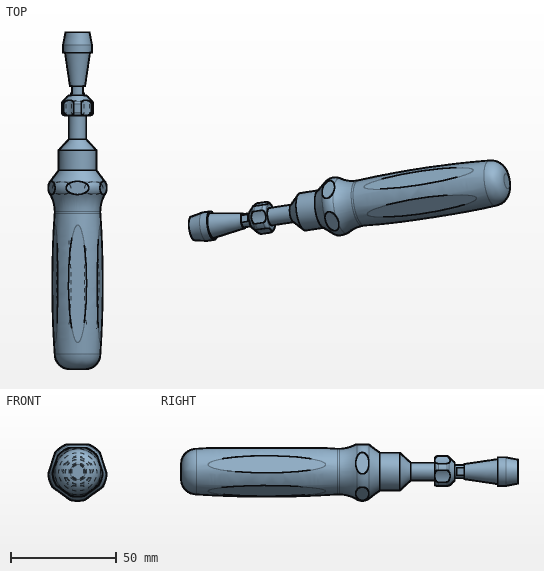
import cadquery as cq
import math

LENGTH = 160.0
SIDES = 5
SIDE_STEP = 360.0 / SIDES

GRIP_END_RADIUS = 10.9
GRIP_MID_RADIUS = 12.05
GRIP_FLAT_DISTANCE = 11.25
BUTT_FILLET = 7.3
GRIP_TOP = 74.1
GRIP_MID = (BUTT_FILLET + GRIP_TOP) / 2
GRIP_COLLAR = 1.0
GRIP_COLLAR_TOP = GRIP_TOP + GRIP_COLLAR

BULGE_RADIUS = 14.0
BULGE_CURVE = 5.0
BULGE_CENTER = 86.1
BULGE_FLAT_DISTANCE = 12.93
BULGE_FLAT_LENGTH = 10.0

FERRULE_RADIUS = 9.05
FERRULE_BOTTOM = 94.4
FERRULE_TOP = 103.9
SHAFT_RADIUS = 4.25
SHAFT_BOTTOM = 109.1

NUT_RADIUS = 7.5
NUT_FILLET = 1.6
NUT_BOTTOM = 120.4
NUT_TOP = 129.95
NUT_TOP_RADIUS = 4.25
SCALLOP_RADIUS = 10.0
SCALLOP_DEPTH_RADIUS = 6.45

NECK_RADIUS = 3.2
NECK_FLAT_DISTANCE = 2.65
NECK_FLAT_BOTTOM = 130.9

HEAD_BOTTOM = 134.35
HEAD_BOTTOM_RADIUS = 3.65
HEAD_TAPER_TOP_RADIUS = 6.0
HEAD_RIM_BOTTOM = 150.25
HEAD_RIM_TOP = 154.1
HEAD_RIM_RADIUS = 6.9
TIP_RADIUS = 5.75


def on_circle(center, radius, angle):
    """Point on a circle of the (radius, Y) half plane; the angle is measured from the radial direction."""
    return (center[0] + radius * math.cos(angle), center[1] + radius * math.sin(angle))


def turned_body():
    butt_center = (GRIP_END_RADIUS - BUTT_FILLET, BUTT_FILLET)

    bulge_center = (BULGE_RADIUS - BULGE_CURVE, BULGE_CENTER)
    rise = BULGE_CENTER - GRIP_COLLAR_TOP
    offset = GRIP_END_RADIUS - bulge_center[0]
    hollow_radius = (rise**2 + offset**2 - BULGE_CURVE**2) / (2 * (BULGE_CURVE - offset))
    hollow_angle = math.asin(rise / (BULGE_CURVE + hollow_radius))
    hollow_center = (GRIP_END_RADIUS + hollow_radius, GRIP_COLLAR_TOP)

    cone_dx = FERRULE_RADIUS - bulge_center[0]
    cone_dy = FERRULE_BOTTOM - BULGE_CENTER
    cone_reach = math.hypot(cone_dx, cone_dy)
    cone_angle = math.atan2(cone_dy, cone_dx) - math.acos(BULGE_CURVE / cone_reach)
    bulge_mid_angle = (cone_angle - hollow_angle) / 2

    nut_arc_radius = NUT_RADIUS - NUT_FILLET
    nut_lower_center = (nut_arc_radius, NUT_BOTTOM + NUT_FILLET)
    diagonal = math.radians(45)
    cone_offset = NUT_FILLET / math.cos(diagonal)
    nut_upper_center = (nut_arc_radius, NUT_TOP + NUT_TOP_RADIUS - nut_arc_radius - cone_offset)

    profile = (
        cq.Workplane("XY")
        .lineTo(butt_center[0], 0)
        .threePointArc(on_circle(butt_center, BUTT_FILLET, -diagonal), (GRIP_END_RADIUS, BUTT_FILLET))
        .threePointArc((GRIP_MID_RADIUS, GRIP_MID), (GRIP_END_RADIUS, GRIP_TOP))
        .lineTo(GRIP_END_RADIUS, GRIP_COLLAR_TOP)
        .threePointArc(
            on_circle(hollow_center, hollow_radius, math.pi - hollow_angle / 2),
            on_circle(bulge_center, BULGE_CURVE, -hollow_angle),
        )
        .threePointArc(
            on_circle(bulge_center, BULGE_CURVE, bulge_mid_angle),
            on_circle(bulge_center, BULGE_CURVE, cone_angle),
        )
        .lineTo(FERRULE_RADIUS, FERRULE_BOTTOM)
        .lineTo(FERRULE_RADIUS, FERRULE_TOP)
        .lineTo(SHAFT_RADIUS, SHAFT_BOTTOM)
        .lineTo(SHAFT_RADIUS, NUT_BOTTOM)
        .lineTo(nut_arc_radius, NUT_BOTTOM)
        .threePointArc(
            on_circle(nut_lower_center, NUT_FILLET, -diagonal),
            (NUT_RADIUS, nut_lower_center[1]),
        )
        .lineTo(NUT_RADIUS, nut_upper_center[1])
        .threePointArc(
            on_circle(nut_upper_center, NUT_FILLET, diagonal / 2),
            on_circle(nut_upper_center, NUT_FILLET, diagonal),
        )
        .lineTo(NUT_TOP_RADIUS, NUT_TOP)
        .lineTo(NECK_RADIUS, NUT_TOP)
        .lineTo(NECK_RADIUS, HEAD_BOTTOM)
        .lineTo(HEAD_BOTTOM_RADIUS, HEAD_BOTTOM)
        .lineTo(HEAD_TAPER_TOP_RADIUS, HEAD_RIM_BOTTOM)
        .lineTo(HEAD_RIM_RADIUS, HEAD_RIM_BOTTOM)
        .lineTo(HEAD_RIM_RADIUS, HEAD_RIM_TOP)
        .lineTo(TIP_RADIUS, LENGTH)
        .lineTo(0, LENGTH)
        .close()
    )
    return profile.revolve(360, (0, 0, 0), (0, 1, 0))


def around_axis(tool, index):
    return tool.rotate((0, 0, 0), (0, 1, 0), index * SIDE_STEP)


def cut_flats(body, distance, bottom, top):
    """Cut five flats at the given distance from the axis, the first one facing +Z."""
    width = 2 * BULGE_RADIUS
    flat = cq.Workplane("XY").box(width, top - bottom, BULGE_RADIUS, centered=(True, False, False))
    flat = flat.translate((0, bottom, distance))
    for index in range(SIDES):
        body = body.cut(around_axis(flat, index))
    return body


def cut_nut_scallops(body):
    """Cut five concave scallops into the nut with round tools beside it, the first one facing -Z."""
    scallop = (
        cq.Workplane("XZ", origin=(0, NUT_BOTTOM, -SCALLOP_DEPTH_RADIUS - SCALLOP_RADIUS))
        .circle(SCALLOP_RADIUS)
        .extrude(-(NUT_TOP - NUT_BOTTOM))
    )
    for index in range(SIDES):
        body = body.cut(around_axis(scallop, index))
    return body


def cut_neck_flats(body):
    length = HEAD_BOTTOM - NECK_FLAT_BOTTOM
    for side in (-1, 1):
        flat = cq.Workplane("XY").box(NECK_RADIUS, length, 2 * NECK_RADIUS, centered=(True, False, True))
        flat_center = side * (NECK_FLAT_DISTANCE + NECK_RADIUS / 2)
        body = body.cut(flat.translate((flat_center, NECK_FLAT_BOTTOM, 0)))
    return body


result = turned_body()
result = cut_flats(result, GRIP_FLAT_DISTANCE, BUTT_FILLET, GRIP_TOP)
result = cut_flats(
    result,
    BULGE_FLAT_DISTANCE,
    BULGE_CENTER - BULGE_FLAT_LENGTH / 2,
    BULGE_CENTER + BULGE_FLAT_LENGTH / 2,
)
result = cut_nut_scallops(result)
result = cut_neck_flats(result)